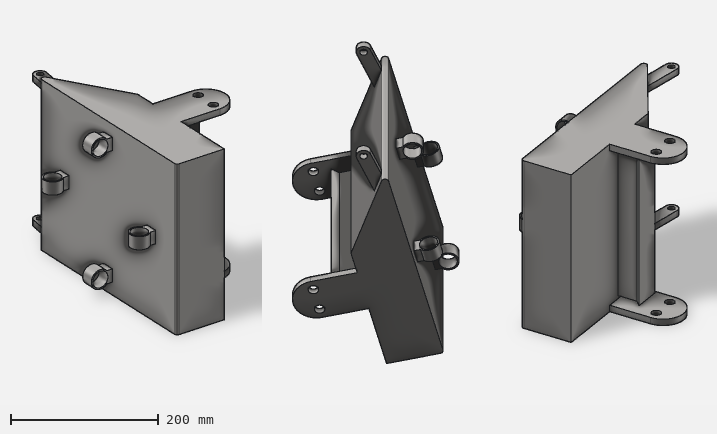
import cadquery as cq
import math

block_width = 316.0
block_depth = 80.0
height = 260.0
slope_run = 116.0
edge_radius = 5.0

ring_diameter = 30.0
ring_bore = 25.2
ring_length = 20.0
ring_standoff = 20.0
ring_neck_width = 20.0
ring_pitch_radius = 100.0

lug_x = 25.5
lug_width = 65.0
lug_reach = 64.8
lug_thickness = 10.0
lug_hole_diameter = 14.0
lug_hole_spacing = 35.3

arm_width = 20.0
arm_thickness = 10.0
arm_hole_diameter = 10.0
arm_tilt = 8.6
arm_length = 90.0
arm_inset = 15.0
arm_overhang = 44.0
arm_pivot_y = 25.2

rail_stem_width = 23.0
rail_depth = 39.2
rail_flare = 9.0

block_left = -block_width / 2
block_right = block_width / 2


def make_block():
    """Block with a sloped left side that runs into a round nose."""
    nose_x = block_left + edge_radius
    nose_y = edge_radius
    corner_x = block_left + slope_run
    run = corner_x - nose_x
    rise = block_depth - nose_y
    slope = math.atan2(rise, run) - math.asin(edge_radius / math.hypot(run, rise))
    normal = slope + math.pi / 2

    def nose_point(angle):
        return (nose_x + edge_radius * math.cos(angle), nose_y + edge_radius * math.sin(angle))

    profile = (
        cq.Workplane("XY")
        .moveTo(nose_x, 0)
        .lineTo(block_right - edge_radius, 0)
        .radiusArc((block_right, edge_radius), -edge_radius)
        .lineTo(block_right, block_depth)
        .lineTo(corner_x, block_depth)
        .lineTo(*nose_point(normal))
        .threePointArc(nose_point(math.pi), (nose_x, 0))
        .close()
    )
    return profile.extrude(height)


def make_ring():
    """Ring with its axis along Z and its neck on the front face, centred on the origin."""
    tube = cq.Workplane("XY").center(0, -ring_standoff).circle(ring_diameter / 2)
    neck = cq.Workplane("XY").center(0, -ring_standoff / 2).rect(ring_neck_width, ring_standoff)
    bore = cq.Workplane("XY").center(0, -ring_standoff).circle(ring_bore / 2)
    ring = tube.extrude(ring_length).union(neck.extrude(ring_length)).cut(bore.extrude(ring_length))
    return ring.translate((0, 0, -ring_length / 2))


def make_lug():
    """Lug with a round end and two holes, lying on Z = 0."""
    end_y = block_depth + lug_reach
    plate = (
        cq.Workplane("XY")
        .moveTo(lug_x - lug_width / 2, block_depth)
        .lineTo(lug_x + lug_width / 2, block_depth)
        .lineTo(lug_x + lug_width / 2, end_y)
        .threePointArc((lug_x, end_y + lug_width / 2), (lug_x - lug_width / 2, end_y))
        .close()
        .extrude(lug_thickness)
    )
    half_spacing = lug_hole_spacing / 2
    holes = (
        cq.Workplane("XY")
        .pushPoints([(lug_x - half_spacing, end_y), (lug_x + half_spacing, end_y)])
        .circle(lug_hole_diameter / 2)
        .extrude(lug_thickness)
    )
    return plate.cut(holes)


def make_arm():
    """Tilted arm with a round drilled end, lying on Z = 0."""
    bar = cq.Workplane("XY").center(arm_length / 2, 0).rect(arm_length, arm_width).extrude(arm_thickness)
    tip = cq.Workplane("XY").circle(arm_width / 2).extrude(arm_thickness)
    hole = cq.Workplane("XY").circle(arm_hole_diameter / 2).extrude(arm_thickness)
    pivot_x = block_left - arm_overhang + arm_width / 2
    arm = bar.union(tip).cut(hole).rotate((0, 0, 0), (0, 0, 1), -arm_tilt)
    return arm.translate((pivot_x, arm_pivot_y, 0))


def make_housing():
    """Block with its lugs, arms and rings as one solid."""
    housing = make_block()
    for z in (0, height - lug_thickness):
        housing = housing.union(make_lug().translate((0, 0, z)))
    for z in (arm_inset, height - arm_inset - arm_thickness):
        housing = housing.union(make_arm().translate((0, 0, z)))
    for side in (-1, 1):
        upright = make_ring().translate((side * ring_pitch_radius, 0, height / 2))
        lying = make_ring().rotate((0, 0, 0), (0, 1, 0), 90)
        lying = lying.translate((0, 0, height / 2 + side * ring_pitch_radius))
        housing = housing.union(upright).union(lying)
    return housing


def make_rail():
    """Upright rail with a flared head, standing on the back face between the lugs."""
    half_stem = rail_stem_width / 2
    half_head = half_stem + rail_flare
    head_y = block_depth + rail_depth
    flare_y = head_y - rail_flare
    outline = [
        (lug_x - half_stem, block_depth),
        (lug_x + half_stem, block_depth),
        (lug_x + half_stem, flare_y),
        (lug_x + half_head, head_y),
        (lug_x - half_head, head_y),
        (lug_x - half_stem, flare_y),
    ]
    rail = cq.Workplane("XY").polyline(outline).close().extrude(height - 2 * arm_inset)
    return rail.translate((0, 0, arm_inset))


housing = make_housing()
rail = make_rail()
result = cq.Compound.makeCompound([housing.val(), rail.val()])